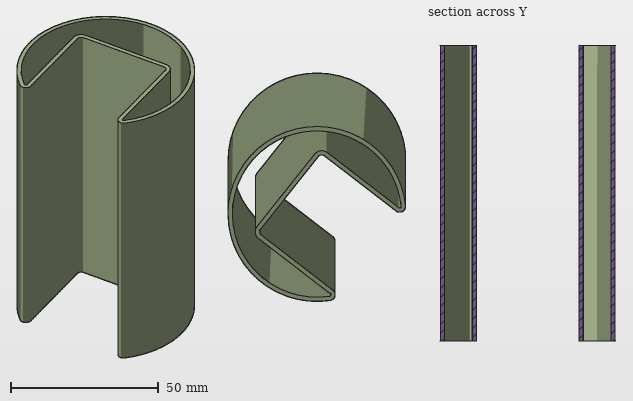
import cadquery as cq
import math

length = 100.0
tube_radius = 30.1
wall = 1.5
slot_half_width = 17.3
slot_floor_y = 11.8
slot_corner_radius = 1.5
lip_radius = 2.0

lip_x = slot_half_width + lip_radius
lip_distance = tube_radius - lip_radius
lip_y = -math.sqrt(lip_distance**2 - lip_x**2)

tangent_x = lip_x * tube_radius / lip_distance
tangent_y = lip_y * tube_radius / lip_distance

lip_angle = (-math.pi + math.atan2(lip_y, lip_x)) / 2
lip_mid_x = lip_x + lip_radius * math.cos(lip_angle)
lip_mid_y = lip_y + lip_radius * math.sin(lip_angle)


def outer_skin():
    """Closed outline of the tube and its slot, with sharp slot corners."""
    return (
        cq.Workplane("XY")
        .moveTo(tangent_x, tangent_y)
        .threePointArc((0, tube_radius), (-tangent_x, tangent_y))
        .threePointArc((-lip_mid_x, lip_mid_y), (-slot_half_width, lip_y))
        .lineTo(-slot_half_width, slot_floor_y)
        .lineTo(slot_half_width, slot_floor_y)
        .lineTo(slot_half_width, lip_y)
        .threePointArc((lip_mid_x, lip_mid_y), (tangent_x, tangent_y))
        .close()
    )


def round_slot_corners(body):
    """Round the two lengthwise edges where the slot sides meet its floor."""
    corners = cq.selectors.BoxSelector(
        (-slot_half_width - wall, slot_floor_y - wall, 0),
        (slot_half_width + wall, slot_floor_y + wall, length),
    )
    return body.edges("|Z").edges(corners).fillet(slot_corner_radius)


solid_body = round_slot_corners(outer_skin().extrude(length))

cavity = solid_body.faces("<Z").wires().toPending().offset2D(-wall).extrude(length, combine=False)

result = solid_body.cut(cavity)